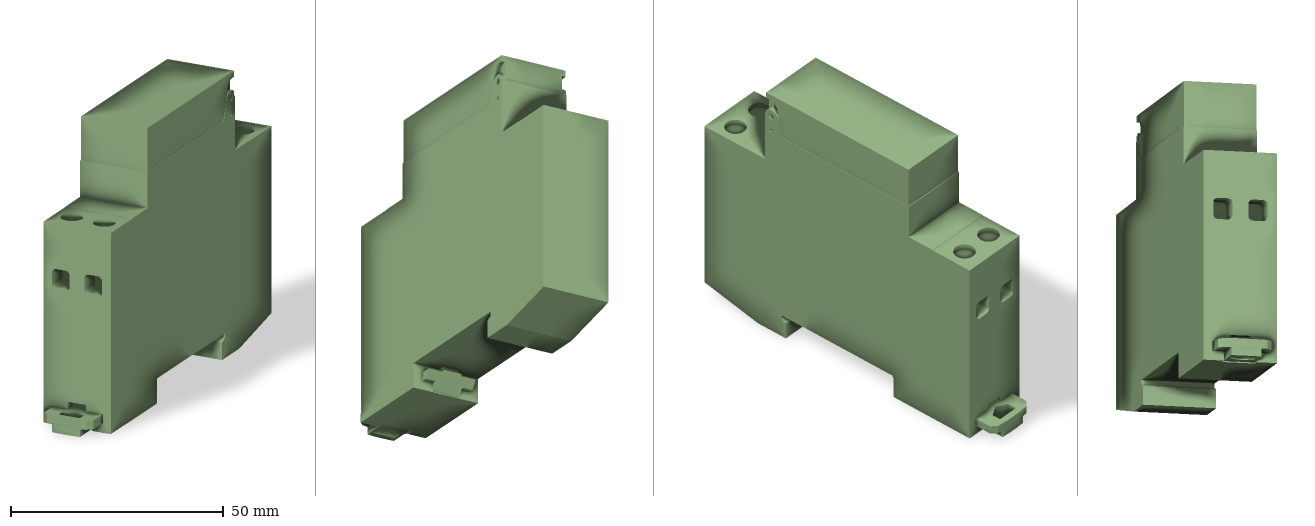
import cadquery as cq
import math

width = 17.8
total_length = 88.9
height = 70.3
tab_reach = 5.9
body_length = total_length - tab_reach

shoulder_height = 50.3
terminal_step = 0.1
terminal_length = 11.55
shoulder_length = 19.0
foot_slope_height = 3.55
foot_slope_length = 16.8
rail_top = 6.2
front_foot_length = 23.8
back_foot_length = 25.5
hook_depth = 1.4
hook_bottom = 4.4
hook_top = 5.15

lid_back_setback = 0.3
lid_seam_height = 59.4
ear_radius = 1.9
ear_recess_depth = 1.1
pivot_height = 64.0
pivot_radius = 0.8
pin_height = 59.8
pin_radius = 0.4
hinge_hole_depth = 0.5
lid_arch_height = 68.7
lid_arch_radius = 2.5
lid_arch_angle = math.radians(77)
lid_lip = 1.1
lid_sweep_radius = 1.5
lid_front_setback = 0.2
lid_side_setback = 0.1
ear_shoulder_angle = math.radians(30)
ear_shoulder_length = 1.6

terminal_offset = 4.3
screw_inset = 5.7
screw_radius = 2.7
screw_depth = 1.5
entry_width = 4.6
entry_height = 5.1
entry_corner = 1.15
entry_level = 36.35
entry_depth = 5.3

plate_width = 12.9
plate_bottom = 2.2
plate_top = 4.35
keel_width = 7.3
keel_bottom = 0.3
rib_width = 4.35
rib_recess = 2.2
rib_slot_width = 4.8
rib_slot_depth = 2.7
latch_gap = 0.35
plate_top_gap = 0.2
guide_depth = 1.8
tab_chamfer = 1.3
tab_bow = 0.35
eye_width = 5.7
eye_rim = 1.7
eye_side_length = 2.4
eye_apex_length = 3.9
nose_reach = 3.3
nose_height = 4.8
nose_shoulder = 1.7
nose_notch_height = 5.4

ear_back = body_length - shoulder_length
lid_back = ear_back - lid_back_setback
pivot_y = ear_back - ear_radius
back_foot_inner = body_length - back_foot_length
terminal_top = shoulder_height - terminal_step


def box(x_size, y_from, y_to, z_from, z_to):
    """Block centred on X between the given Y and Z limits."""
    block = cq.Workplane("XY").box(x_size, y_to - y_from, z_to - z_from, centered=(True, False, False))
    return block.translate((0, y_from, z_from))


def side_plate(outline, thickness):
    """Extrude a closed YZ outline symmetrically about X = 0."""
    return outline.extrude(thickness / 2, both=True)


def make_housing():
    outline = (
        cq.Workplane("YZ")
        .moveTo(0, 0)
        .lineTo(front_foot_length, 0)
        .lineTo(front_foot_length, rail_top)
        .lineTo(back_foot_inner + hook_depth, rail_top)
        .lineTo(back_foot_inner + hook_depth, hook_top)
        .lineTo(back_foot_inner, hook_bottom)
        .lineTo(back_foot_inner, 0)
        .lineTo(body_length - foot_slope_length, 0)
        .lineTo(body_length, foot_slope_height)
        .lineTo(body_length, terminal_top)
        .lineTo(body_length - terminal_length, terminal_top)
        .lineTo(body_length - terminal_length, shoulder_height)
        .lineTo(ear_back, shoulder_height)
        .lineTo(ear_back, pivot_height)
        .lineTo(lid_back, pivot_height)
        .lineTo(lid_back, height)
        .lineTo(shoulder_length, height)
        .lineTo(shoulder_length, shoulder_height)
        .lineTo(terminal_length, shoulder_height)
        .lineTo(terminal_length, terminal_top)
        .lineTo(0, terminal_top)
        .close()
    )
    return side_plate(outline, width)


def make_lid_blank(front_y, thickness):
    """Lid block whose rear lower corner sweeps down from an arch to the seam."""
    half_arch_angle = lid_arch_angle / 2
    arch_start_y = lid_back - lid_lip
    arch_center_z = lid_arch_height - lid_arch_radius
    arch_mid = (
        arch_start_y - lid_arch_radius * math.sin(half_arch_angle),
        arch_center_z + lid_arch_radius * math.cos(half_arch_angle),
    )
    arch_end = (
        arch_start_y - lid_arch_radius * math.sin(lid_arch_angle),
        arch_center_z + lid_arch_radius * math.cos(lid_arch_angle),
    )
    sweep_center_z = lid_seam_height + lid_sweep_radius
    sweep_start_z = sweep_center_z - lid_sweep_radius * math.cos(lid_arch_angle)
    sweep_start_y = arch_end[0] - (arch_end[1] - sweep_start_z) / math.tan(lid_arch_angle)
    sweep_end_y = sweep_start_y - lid_sweep_radius * math.sin(lid_arch_angle)
    sweep_mid = (
        sweep_end_y + lid_sweep_radius * math.sin(half_arch_angle),
        sweep_center_z - lid_sweep_radius * math.cos(half_arch_angle),
    )
    outline = (
        cq.Workplane("YZ")
        .moveTo(front_y, lid_seam_height)
        .lineTo(front_y, height)
        .lineTo(lid_back, height)
        .lineTo(lid_back, lid_arch_height)
        .lineTo(arch_start_y, lid_arch_height)
        .threePointArc(arch_mid, arch_end)
        .lineTo(sweep_start_y, sweep_start_z)
        .threePointArc(sweep_mid, (sweep_end_y, lid_seam_height))
        .close()
    )
    return side_plate(outline, thickness)


def make_ear_recess():
    """Pocket on both flanks above the ears: round at the pivot, then a straight shoulder."""
    round_mid = (
        pivot_y + ear_radius * math.sin(ear_shoulder_angle),
        pivot_height + ear_radius * math.cos(ear_shoulder_angle),
    )
    round_end = (
        pivot_y - ear_radius * math.sin(ear_shoulder_angle),
        pivot_height + ear_radius * math.cos(ear_shoulder_angle),
    )
    shoulder_end = (
        round_end[0] - ear_shoulder_length * math.cos(ear_shoulder_angle),
        round_end[1] - ear_shoulder_length * math.sin(ear_shoulder_angle),
    )
    outline = (
        cq.Workplane("YZ")
        .moveTo(ear_back, pivot_height)
        .threePointArc(round_mid, round_end)
        .lineTo(*shoulder_end)
        .lineTo(shoulder_end[0], lid_arch_height)
        .lineTo(ear_back, lid_arch_height)
        .close()
    )
    core = box(width - 2 * ear_recess_depth, 0, body_length, 0, height)
    return side_plate(outline, width).cut(core)


def make_hinge_holes():
    holes = (
        cq.Workplane("YZ")
        .pushPoints([(pivot_y, pivot_height)])
        .circle(pivot_radius)
        .pushPoints([(pivot_y, pin_height)])
        .circle(pin_radius)
    )
    core = box(width - 2 * hinge_hole_depth, 0, body_length, 0, height)
    return side_plate(holes, width).cut(core)


def make_screw_holes():
    places = [
        (x, y)
        for x in (-terminal_offset, terminal_offset)
        for y in (screw_inset, body_length - screw_inset)
    ]
    floor = cq.Workplane("XY").workplane(offset=terminal_top - screw_depth)
    return floor.pushPoints(places).circle(screw_radius).extrude(screw_depth)


def make_wire_entries():
    return (
        cq.Workplane("XZ")
        .pushPoints([(-terminal_offset, entry_level), (terminal_offset, entry_level)])
        .rect(entry_width, entry_height)
        .extrude(-entry_depth)
        .edges("|Y")
        .fillet(entry_corner)
    )


def make_latch_guide():
    """Clearance around the latch where it leaves the front wall."""
    plate = box(plate_width + 2 * latch_gap, 0, guide_depth, plate_bottom, plate_top + plate_top_gap)
    keel = box(keel_width + 2 * latch_gap, 0, guide_depth, 0, plate_bottom)
    rib = box(rib_slot_width, 0, rib_slot_depth, plate_top, rail_top)
    return plate.union(keel).union(rib)


def make_latch():
    nose_y = front_foot_length + nose_reach
    plate = box(plate_width, -tab_reach, nose_y, plate_bottom, plate_top)
    keel = box(keel_width, -tab_reach, nose_y, keel_bottom, plate_bottom)
    rib = box(rib_width, rib_recess, nose_y, plate_top, rail_top)
    rib = rib.translate(((rib_width - rib_slot_width) / 2, 0, 0))

    corner_x = plate_width / 2 - tab_chamfer
    corner_y = tab_bow - tab_reach
    footprint = (
        cq.Workplane("XY")
        .moveTo(-plate_width / 2, nose_y)
        .lineTo(-plate_width / 2, corner_y + tab_chamfer)
        .lineTo(-corner_x, corner_y)
        .threePointArc((0, -tab_reach), (corner_x, corner_y))
        .lineTo(plate_width / 2, corner_y + tab_chamfer)
        .lineTo(plate_width / 2, nose_y)
        .close()
        .extrude(rail_top)
    )
    profile = (
        cq.Workplane("YZ")
        .moveTo(-tab_reach, 0)
        .lineTo(front_foot_length, 0)
        .lineTo(nose_y, nose_height)
        .lineTo(front_foot_length + nose_shoulder, nose_notch_height)
        .lineTo(front_foot_length + nose_shoulder, rail_top)
        .lineTo(-tab_reach, rail_top)
        .close()
    )
    eye_front = eye_rim - tab_reach
    eye_shoulder = eye_front + eye_side_length
    eye = (
        cq.Workplane("XY")
        .moveTo(-eye_width / 2, eye_front)
        .lineTo(eye_width / 2, eye_front)
        .lineTo(eye_width / 2, eye_shoulder)
        .lineTo(0, eye_front + eye_apex_length)
        .lineTo(-eye_width / 2, eye_shoulder)
        .close()
        .extrude(rail_top)
    )
    latch = plate.union(keel).union(rib)
    return latch.intersect(footprint).intersect(side_plate(profile, width)).cut(eye)


housing = make_housing()
pockets = (
    make_lid_blank(shoulder_length, width),
    make_ear_recess(),
    make_hinge_holes(),
    make_screw_holes(),
    make_wire_entries(),
    make_latch_guide(),
)
for pocket in pockets:
    housing = housing.cut(pocket)

lid = make_lid_blank(shoulder_length + lid_front_setback, width - 2 * lid_side_setback)
result = housing.union(lid).union(make_latch())